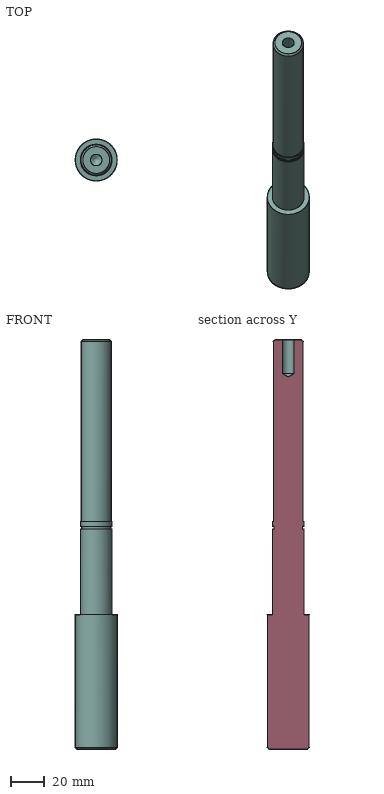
import cadquery as cq
import math

total_length = 243.5

handle_diameter = 25.0
handle_length = 80.0
handle_chamfer_radial = 1.0
handle_chamfer_height = 1.0

stem_diameter = 18.8
groove_diameter = 17.5
groove_bottom = 131.0
groove_width = 1.5
collar_width = 3.0

rod_diameter = 18.1
rod_chamfer_radial = 1.1
rod_chamfer_height = 1.0

hole_diameter = 6.8
hole_depth = 20.0
drill_point_angle = 118.0

handle_radius = handle_diameter / 2
stem_radius = stem_diameter / 2
groove_radius = groove_diameter / 2
rod_radius = rod_diameter / 2
hole_radius = hole_diameter / 2
groove_top = groove_bottom + groove_width
collar_top = groove_top + collar_width
drill_point_height = hole_radius / math.tan(math.radians(drill_point_angle / 2))


def revolve_profile(points):
    """Revolve (radius, height) points around Z."""
    profile = cq.Workplane("XZ").polyline(points).close()
    return profile.revolve(360, (0, 0, 0), (0, 1, 0))


def shaft_body():
    """Handle, stem, groove, collar and rod as one turned body."""
    return revolve_profile([
        (0, 0),
        (handle_radius - handle_chamfer_radial, 0),
        (handle_radius, handle_chamfer_height),
        (handle_radius, handle_length),
        (stem_radius, handle_length),
        (stem_radius, groove_bottom),
        (groove_radius, groove_bottom),
        (groove_radius, groove_top),
        (stem_radius, groove_top),
        (stem_radius, collar_top),
        (rod_radius, collar_top),
        (rod_radius, total_length - rod_chamfer_height),
        (rod_radius - rod_chamfer_radial, total_length),
        (0, total_length),
    ])


def drilled_hole():
    """Cutter for the hole, with its conical drill point."""
    hole_floor = total_length - hole_depth
    return revolve_profile([
        (0, total_length),
        (hole_radius, total_length),
        (hole_radius, hole_floor),
        (0, hole_floor - drill_point_height),
    ])


result = shaft_body().cut(drilled_hole())